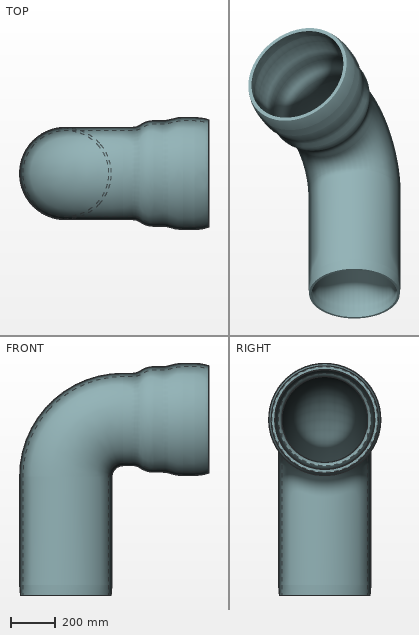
import cadquery as cq
import math


pipe_diameter = 420.0
wall = 15.0
bend_radius = 260.0
straight_length = 540.0
spigot_taper_length = 48.0
spigot_taper_inset = 4.0

sleeve_diameter = 480.0
bell_diameter = 510.0
socket_length = 390.0
neck_length = 45.0
sleeve_length = 42.0
bell_land_length = 52.0
sleeve_concave_radius = 60.0
sleeve_convex_radius = 105.0
bell_concave_radius = 95.0
bell_convex_radius = 190.0

pipe_radius = pipe_diameter / 2
sleeve_radius = sleeve_diameter / 2
bell_radius = bell_diameter / 2
axis_height = straight_length + bend_radius


def arc_point(start_x, start_radius, arc_radius, angle, side):
    """Point on an arc that leaves (start_x, start_radius) along +X, curving to the given side."""
    x = start_x + arc_radius * math.sin(angle)
    radius = start_radius + side * arc_radius * (1 - math.cos(angle))
    return (x, radius)


def add_flare(outline, start_x, start_radius, end_radius, concave_radius, convex_radius):
    """Add two tangent arcs that widen the outline; return it with the X where the flare ends."""
    rise = end_radius - start_radius
    angle = math.acos(1 - rise / (concave_radius + convex_radius))
    end_x = start_x + (concave_radius + convex_radius) * math.sin(angle)
    concave_middle = arc_point(start_x, start_radius, concave_radius, angle / 2, 1)
    concave_end = arc_point(start_x, start_radius, concave_radius, angle, 1)
    convex_middle = arc_point(end_x, end_radius, convex_radius, -angle / 2, -1)
    outline = outline.threePointArc(concave_middle, concave_end)
    outline = outline.threePointArc(convex_middle, (end_x, end_radius))
    return outline, end_x


def make_socket(inset):
    """Solid of revolution bounded by the socket surface, moved inwards by the inset."""
    neck = pipe_radius - inset
    sleeve = sleeve_radius - inset
    bell = bell_radius - inset
    lip_radius = bell_convex_radius - inset

    socket_start = bend_radius
    mouth_x = socket_start + socket_length
    flare_start = socket_start + neck_length

    outline = cq.Workplane("XZ").moveTo(socket_start, 0).lineTo(socket_start, neck)
    outline = outline.lineTo(flare_start, neck)
    outline, sleeve_start = add_flare(
        outline, flare_start, neck, sleeve,
        sleeve_concave_radius + inset, sleeve_convex_radius - inset,
    )
    sleeve_end = sleeve_start + sleeve_length
    outline = outline.lineTo(sleeve_end, sleeve)
    outline, land_start = add_flare(
        outline, sleeve_end, sleeve, bell,
        bell_concave_radius + inset, bell_convex_radius - inset,
    )
    land_end = land_start + bell_land_length
    lip_angle = math.asin((mouth_x - land_end) / lip_radius)
    lip_middle = arc_point(land_end, bell, lip_radius, lip_angle / 2, -1)
    lip_end = arc_point(land_end, bell, lip_radius, lip_angle, -1)
    outline = outline.lineTo(land_end, bell).threePointArc(lip_middle, lip_end)
    outline = outline.lineTo(mouth_x, 0).close()
    socket = outline.revolve(360, (0, 0, 0), (1, 0, 0))
    return socket.translate((0, 0, axis_height))


def make_bend(radius):
    """Quarter torus joining the vertical pipe to the horizontal socket."""
    section = cq.Workplane("XY").workplane(offset=straight_length).circle(radius)
    return section.revolve(90, (bend_radius, 0, 0), (bend_radius, 1, 0))


def make_straight_pipe():
    """Vertical pipe whose lower end tapers slightly for insertion."""
    outline = (
        cq.Workplane("XZ")
        .lineTo(pipe_radius - spigot_taper_inset, 0)
        .lineTo(pipe_radius, spigot_taper_length)
        .lineTo(pipe_radius, straight_length)
        .lineTo(0, straight_length)
        .close()
    )
    return outline.revolve(360, (0, 0, 0), (0, 1, 0))


def make_elbow():
    """Hollow elbow with the same wall thickness through pipe, bend and socket."""
    bore_radius = pipe_radius - wall
    bore = cq.Workplane("XY").circle(bore_radius).extrude(straight_length)
    bore = bore.union(make_bend(bore_radius)).union(make_socket(wall))
    body = make_straight_pipe().union(make_bend(pipe_radius)).union(make_socket(0))
    return body.cut(bore)


elbow = make_elbow()

result = cq.Compound.makeCompound(elbow.solids().vals())